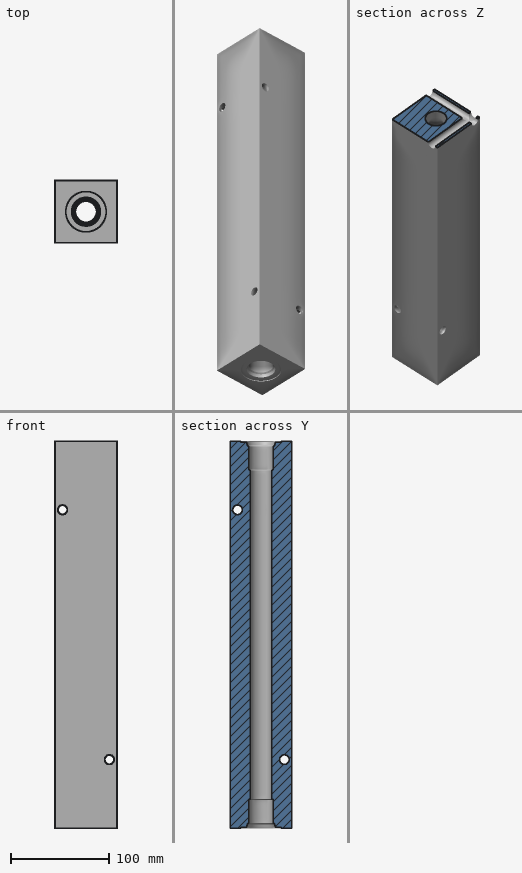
import cadquery as cq

side = 63.5
length = 393.7

bore_diameter = 21.5
spotface_diameter = 41.1
spotface_depth = 0.8
seal_seat_diameter = 29.2
seal_seat_depth = 3.3
seal_seat_end_diameter = 27.4
port_diameter = 24.9
port_depth = 28.0
drill_tip_depth = 1.1

mount_hole_diameter = 9.3
mount_hole_edge_distance = 7.94
mount_hole_pitch = 254.0

mount_hole_offset = side / 2 - mount_hole_edge_distance
mount_hole_height = mount_hole_pitch / 2


def make_bar():
    return cq.Workplane("XY").box(side, side, length)


def make_port():
    """Cutter for the upper end: spotface, seal taper, 45 degree lead-in, port and drill tip."""
    top = length / 2
    spotface_floor = top - spotface_depth
    seat_bottom = spotface_floor - seal_seat_depth
    lead_in = (seal_seat_end_diameter - port_diameter) / 2
    port_bottom = spotface_floor - port_depth
    profile = (
        cq.Workplane("XZ")
        .moveTo(0, top)
        .lineTo(spotface_diameter / 2, top)
        .lineTo(spotface_diameter / 2, spotface_floor)
        .lineTo(seal_seat_diameter / 2, spotface_floor)
        .lineTo(seal_seat_end_diameter / 2, seat_bottom)
        .lineTo(port_diameter / 2, seat_bottom - lead_in)
        .lineTo(port_diameter / 2, port_bottom)
        .lineTo(bore_diameter / 2, port_bottom - drill_tip_depth)
        .lineTo(0, port_bottom - drill_tip_depth)
        .close()
    )
    return profile.revolve(360, (0, 0, 0), (0, 1, 0))


def make_bore():
    return cq.Workplane("XY").circle(bore_diameter / 2).extrude(length / 2, both=True)


def make_mount_holes():
    """Two pairs of crossing holes, one pair near each of two opposite long edges."""
    holes = cq.Workplane("XY")
    for end in (1, -1):
        offset = end * mount_hole_offset
        height = end * mount_hole_height
        for plane, across in (("XZ", -offset), ("YZ", offset)):
            hole = (
                cq.Workplane(plane)
                .center(across, height)
                .circle(mount_hole_diameter / 2)
                .extrude(side / 2, both=True)
            )
            holes = holes.add(hole)
    return holes.combine()


upper_port = make_port()
lower_port = upper_port.mirror("XY")

result = (
    make_bar()
    .cut(make_bore())
    .cut(upper_port)
    .cut(lower_port)
    .cut(make_mount_holes())
)